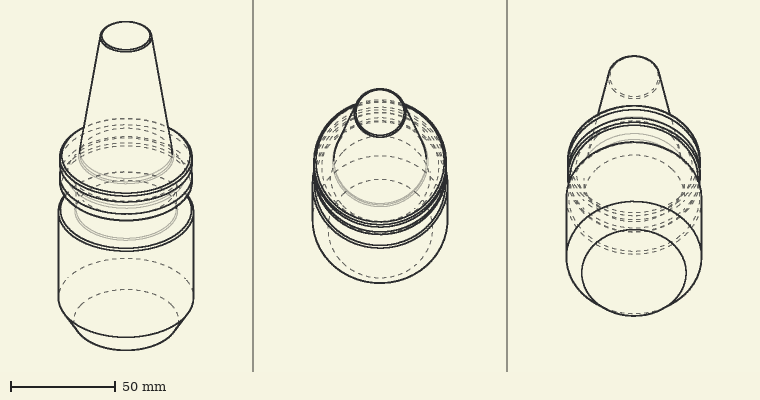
import cadquery as cq
import math

total_height = 168.2
nose_height = 13.1
body_top = 65.1
flange_bottom = 81.0
flange_top = 97.2
gauge_height = 100.0

nose_radius = 25.0
body_radius = 32.5
neck_radius = 24.0
flange_radius = 31.8
groove_radius = 28.1
gauge_radius = 22.2
taper_ratio = 7 / 24
taper_tip_radius = gauge_radius - (total_height - gauge_height) * taper_ratio / 2

groove_center = 89.2
groove_mouth = 7.0
groove_floor = 3.7
groove_root_fillet = 1.2

edge_chamfer = 1.0
tip_chamfer = 0.7
neck_fillet = 2.0
base_fillet = 0.7


def cylinder(radius, bottom, top):
    return cq.Workplane("XY").workplane(offset=bottom).circle(radius).extrude(top - bottom)


def cone(bottom_radius, top_radius, bottom, top):
    profile = [(0, bottom), (bottom_radius, bottom), (top_radius, top), (0, top)]
    return cq.Workplane("XZ").polyline(profile).close().revolve(360, (0, 0), (0, 1))


def make_body():
    nose = cone(nose_radius, body_radius, 0, nose_height)
    barrel = cylinder(body_radius, nose_height, body_top).faces(">Z").edges().chamfer(edge_chamfer)
    return nose.union(barrel)


def make_groove_cutter():
    half_mouth = groove_mouth / 2
    half_floor = groove_floor / 2
    profile = [
        (groove_radius, groove_center - half_floor),
        (flange_radius, groove_center - half_mouth),
        (body_radius, groove_center - half_mouth),
        (body_radius, groove_center + half_mouth),
        (flange_radius, groove_center + half_mouth),
        (groove_radius, groove_center + half_floor),
    ]
    cutter = cq.Workplane("XZ").polyline(profile).close().revolve(360, (0, 0), (0, 1))
    root_edges = cq.selectors.RadiusNthSelector(0)
    return cutter.edges("%CIRCLE").edges(root_edges).fillet(groove_root_fillet)


def make_flange():
    flange = cylinder(flange_radius, flange_bottom, flange_top)
    flange = flange.faces("<Z or >Z").edges().chamfer(edge_chamfer)
    return flange.cut(make_groove_cutter())


def make_fillet_column(radius, bottom, top, bottom_fillet, top_fillet):
    """Cylinder that flares into the shoulders below and above it; a zero top fillet leaves that end square."""
    arc_offset = 1 - math.sqrt(0.5)
    profile = (
        cq.Workplane("XZ")
        .moveTo(0, bottom)
        .lineTo(radius + bottom_fillet, bottom)
        .threePointArc(
            (radius + bottom_fillet * arc_offset, bottom + bottom_fillet * arc_offset),
            (radius, bottom + bottom_fillet),
        )
        .lineTo(radius, top - top_fillet)
    )
    if top_fillet > 0:
        profile = profile.threePointArc(
            (radius + top_fillet * arc_offset, top - top_fillet * arc_offset),
            (radius + top_fillet, top),
        )
    return profile.lineTo(0, top).close().revolve(360, (0, 0), (0, 1))


def make_neck():
    return make_fillet_column(neck_radius, body_top, flange_bottom, base_fillet, neck_fillet)


def make_taper():
    collar = make_fillet_column(gauge_radius, flange_top, gauge_height, base_fillet, 0)
    taper = cone(gauge_radius, taper_tip_radius, gauge_height, total_height)
    return collar.union(taper.faces(">Z").edges().chamfer(tip_chamfer))


result = make_body().union(make_neck()).union(make_flange()).union(make_taper())